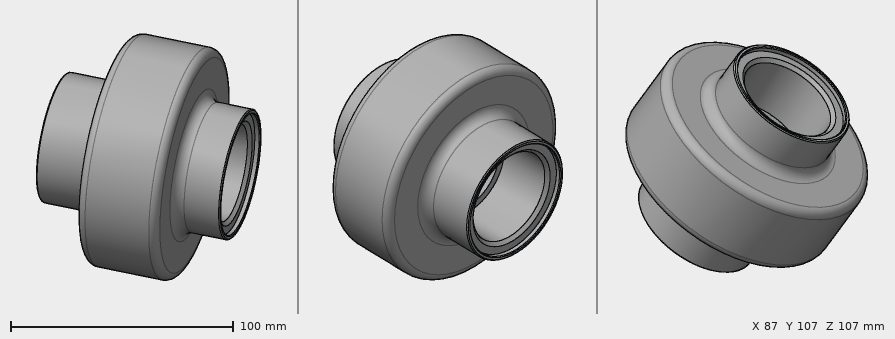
import cadquery as cq

length = 87.0
flange_diameter = 107.0
flange_start = 27.0
flange_width = 38.1
flange_rounding = 4.0
neck_diameter = 60.0
neck_root_fillet = 5.0
rim_chamfer = 0.5

selection_margin = 1.1

recess_diameter = 56.0
recess_depth = 2.5
recess_lip_chamfer = 0.4
socket_diameter = 44.8
socket_lead_in = 1.7
socket_depth = 30.5
through_diameter = 38.0


def cylinder(diameter, start, width):
    """Solid cylinder along X, beginning at X = start."""
    return cq.Workplane("YZ").workplane(offset=start).circle(diameter / 2).extrude(width)


def cone(start_diameter, end_diameter, start, end):
    """Solid truncated cone about X between two positions."""
    profile = [(start, 0), (start, start_diameter / 2), (end, end_diameter / 2), (end, 0)]
    return cq.Workplane("XY").polyline(profile).close().revolve(360, (0, 0, 0), (1, 0, 0))


def make_body():
    """Neck with a round-edged central flange."""
    neck = cylinder(neck_diameter, 0, length).faces("<X or >X").edges().chamfer(rim_chamfer)
    flange = cylinder(flange_diameter, flange_start, flange_width).edges().fillet(flange_rounding)
    body = neck.union(flange)
    reach = neck_diameter / 2 + selection_margin
    for root_x in (flange_start, flange_start + flange_width):
        root = cq.selectors.BoxSelector(
            (root_x - selection_margin, -reach, -reach),
            (root_x + selection_margin, reach, reach),
            boundingbox=True,
        )
        body = body.edges(root).fillet(neck_root_fillet)
    return body


def make_left_socket():
    """Chamfered recess and socket entered from the left end."""
    lip = cone(recess_diameter + 2 * recess_lip_chamfer, recess_diameter, 0, recess_lip_chamfer)
    recess = cylinder(recess_diameter, 0, recess_depth)
    lead_in = cone(
        socket_diameter + 2 * socket_lead_in,
        socket_diameter,
        recess_depth,
        recess_depth + socket_lead_in,
    )
    socket = cylinder(socket_diameter, 0, socket_depth)
    return lip.union(recess).union(lead_in).union(socket)


left_socket = make_left_socket()
right_socket = left_socket.mirror("YZ", (length / 2, 0, 0))
through_bore = cylinder(through_diameter, 0, length)

result = make_body().cut(left_socket).cut(right_socket).cut(through_bore)